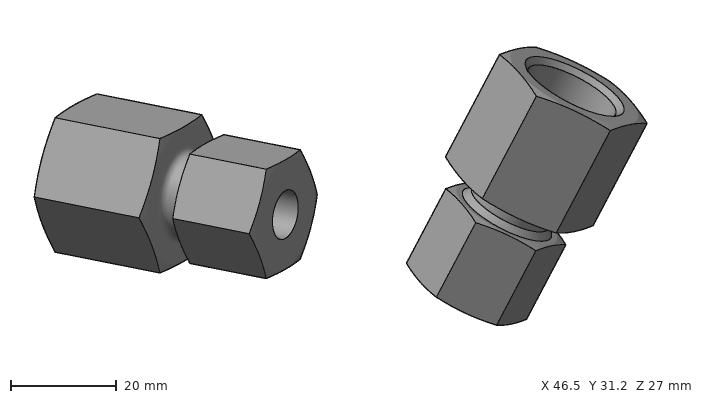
import cadquery as cq
import math

total_length = 46.5
large_hex_length = 24.15
small_hex_length = 17.75
large_hex_flats = 27.0
small_hex_flats = 22.0

chamfer_slope = math.tan(math.radians(15))
inner_face_diameter = 21.3

neck_diameter = 16.3
neck_fillet_radius = 1.4
neck_cone_diameter = 18.9

socket_diameter = 18.65
socket_depth = 16.75
socket_mouth_diameter = 20.92
through_diameter = 9.6

small_hex_start = total_length - small_hex_length


def cylinder(start, length, diameter):
    return cq.Workplane("YZ", origin=(start, 0, 0)).circle(diameter / 2).extrude(length)


def revolve_about_x(profile):
    return profile.close().revolve(360, (0, 0, 0), (1, 0, 0))


def chamfered_hex(start, length, flats, left_face_diameter, right_face_diameter):
    """Hexagonal prism, flats facing up and down, with conically turned corners."""
    corners = 2 * flats / math.sqrt(3)
    prism = cq.Workplane("YZ", origin=(start, 0, 0)).polygon(6, corners).extrude(length)
    left_depth = (corners - left_face_diameter) / 2 * chamfer_slope
    right_depth = (corners - right_face_diameter) / 2 * chamfer_slope
    end = start + length
    envelope = revolve_about_x(
        cq.Workplane("XY")
        .moveTo(start, 0)
        .lineTo(start, left_face_diameter / 2)
        .lineTo(start + left_depth, corners / 2)
        .lineTo(end - right_depth, corners / 2)
        .lineTo(end, right_face_diameter / 2)
        .lineTo(end, 0)
    )
    return prism.intersect(envelope)


def neck():
    """Turned neck, filleted to the large hexagon and flared at 45 degrees to the small one."""
    neck_radius = neck_diameter / 2
    cone_radius = neck_cone_diameter / 2
    cone_length = cone_radius - neck_radius
    fillet_end = large_hex_length + neck_fillet_radius
    fillet_top = neck_radius + neck_fillet_radius
    arc_offset = neck_fillet_radius * math.sqrt(0.5)
    return revolve_about_x(
        cq.Workplane("XY")
        .moveTo(large_hex_length, 0)
        .lineTo(large_hex_length, fillet_top)
        .threePointArc((fillet_end - arc_offset, fillet_top - arc_offset), (fillet_end, neck_radius))
        .lineTo(small_hex_start - cone_length, neck_radius)
        .lineTo(small_hex_start, cone_radius)
        .lineTo(small_hex_start, 0)
    )


def socket():
    """Blind round socket with a 45 degree countersunk mouth."""
    mouth_depth = (socket_mouth_diameter - socket_diameter) / 2
    return revolve_about_x(
        cq.Workplane("XY")
        .lineTo(0, socket_mouth_diameter / 2)
        .lineTo(mouth_depth, socket_diameter / 2)
        .lineTo(socket_depth, socket_diameter / 2)
        .lineTo(socket_depth, 0)
    )


large_hex = chamfered_hex(0, large_hex_length, large_hex_flats, large_hex_flats, large_hex_flats)
small_hex = chamfered_hex(
    small_hex_start, small_hex_length, small_hex_flats, inner_face_diameter, small_hex_flats
)
body = large_hex.union(neck()).union(small_hex)
result = body.cut(socket()).cut(cylinder(0, total_length, through_diameter))